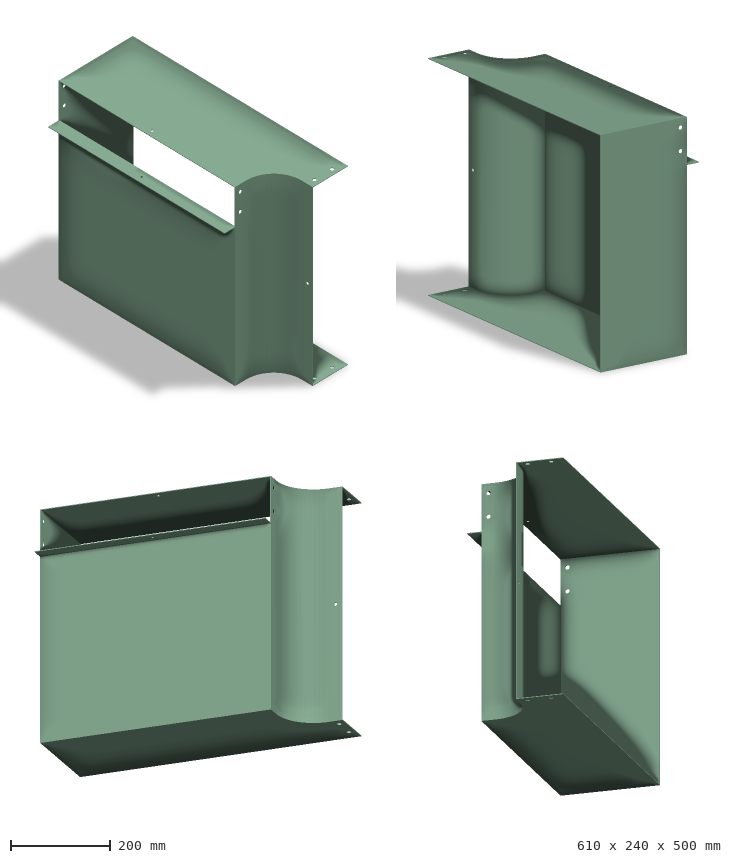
import cadquery as cq

length = 610.0
front_width = 500.0
height = 500.0
depth = 210.0
sheet = 1.5

bend_radius = 80.0
return_depth = 30.0
end_flange = length - front_width - bend_radius

window_height = 100.0
lip_depth = 30.0
lip_top = height - window_height

large_hole = 9.0
medium_hole = 7.0
small_hole = 5.0
end_hole_x = length - end_flange / 2
end_hole_setbacks = (30.0, 80.0)
side_hole_drops = (20.0, 70.0)
edge_setback = return_depth / 2
front_center = front_width / 2


def footprint(inset):
    """Plan outline whose left, front and right walls are moved inward by inset.

    The back and the right end stay in place, so subtracting an inset copy leaves them open.
    """
    right = front_width - inset
    flange_y = return_depth + bend_radius + inset
    return (
        cq.Workplane("XY")
        .moveTo(inset, inset)
        .lineTo(right, inset)
        .lineTo(right, return_depth)
        .radiusArc((front_width + bend_radius, flange_y), bend_radius + inset)
        .lineTo(length, flange_y)
        .lineTo(length, depth)
        .lineTo(inset, depth)
        .close()
    )


def drill(body, diameter, start, direction, reach):
    """Cut a round hole from start along direction."""
    cutter = cq.Solid.makeCylinder(diameter / 2, reach, cq.Vector(*start), cq.Vector(*direction))
    return body.cut(cq.Workplane(obj=cutter))


cavity = footprint(sheet).extrude(height - 2 * sheet).translate((0, 0, sheet))
housing = footprint(0).extrude(height).cut(cavity)

window = cq.Workplane("XY").box(
    front_width - 2 * sheet, sheet, window_height - sheet, centered=False
).translate((sheet, 0, lip_top))
housing = housing.cut(window)

lip = cq.Workplane("XY").box(front_width, lip_depth + sheet, sheet, centered=False)
housing = housing.union(lip.translate((0, -lip_depth, lip_top - sheet)))

for setback in end_hole_setbacks:
    housing = drill(housing, large_hole, (end_hole_x, depth - setback, 0), (0, 0, 1), height)

for drop in side_hole_drops:
    housing = drill(housing, large_hole, (0, edge_setback, height - drop), (1, 0, 0), front_width)

flange_front = return_depth + bend_radius
housing = drill(housing, medium_hole, (end_hole_x, flange_front, height / 2), (0, 1, 0), sheet)
housing = drill(housing, medium_hole, (front_center, edge_setback, height - sheet), (0, 0, 1), sheet)
housing = drill(housing, small_hole, (front_center, -lip_depth / 2, lip_top - sheet), (0, 0, 1), sheet)

result = housing